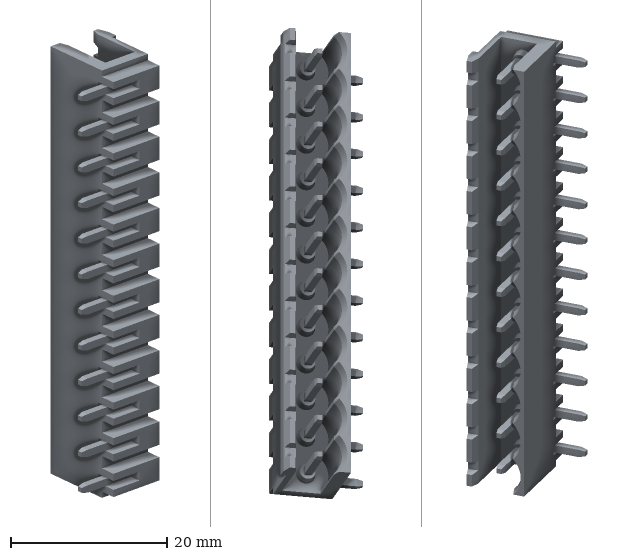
import cadquery as cq

way_count = 12
length = 60.0
pitch = length / way_count
depth = 12.2
wall_height = 7.8
floor_x = 8.4
front_wall_inner_y = 1.9
back_wall_inner_y = 6.95

mouth_lead = 1.2
mouth_flare = 0.35
lip_top_y = 8.5
lip_nose_y = 8.05
lip_ramp_end = 1.55
lip_end = 3.0
lip_slot_mouth_width = 1.75
lip_slot_floor_width = 1.3

contact_y = 3.9
scallop_radius = 3.0
scallop_flare = 0.4

pin_size = 1.0
pin_tip_size = 0.65
pin_tip_length = 0.85
contact_tip_x = 0.8
tail_x = 10.3
tail_tip_y = -4.1

collar_height = 1.15
collar_base_radius = 1.25
collar_top_radius = 1.0

notch_start_x = 9.95
notch_width = 1.75
channel_start_x = 9.2
channel_width = 1.25
channel_depth = contact_y + pin_size / 2

way_heights = [(i + 0.5) * pitch for i in range(way_count)]


def box(x0, x1, y0, y1, z0, z1):
    """Box given by its limits along each axis."""
    return cq.Workplane("XY").box(x1 - x0, y1 - y0, z1 - z0, centered=False).translate((x0, y0, z0))


def housing_blank():
    """Solid extrusion along Z with the latch lip on its back side."""
    outline = [
        (0, 0),
        (depth, 0),
        (depth, wall_height),
        (lip_end, wall_height),
        (lip_end, lip_top_y),
        (lip_ramp_end, lip_top_y),
        (0, lip_nose_y),
    ]
    return cq.Workplane("XY").polyline(outline).close().extrude(length)


def cavity():
    """Mating cavity, open at both ends, with a scalloped front side and a flared mouth."""
    outline = [
        (0, front_wall_inner_y - mouth_flare),
        (mouth_lead, front_wall_inner_y),
        (floor_x, front_wall_inner_y),
        (floor_x, back_wall_inner_y),
        (mouth_lead, back_wall_inner_y),
        (0, back_wall_inner_y + mouth_flare),
    ]
    space = cq.Workplane("XY").polyline(outline).close().extrude(length)
    scallop_profile = [
        (0, contact_y),
        (floor_x, contact_y),
        (floor_x, contact_y - scallop_radius),
        (mouth_lead, contact_y - scallop_radius),
        (0, contact_y - scallop_radius - scallop_flare),
    ]
    scallop = (
        cq.Workplane("XY").polyline(scallop_profile).close()
        .revolve(360, (0, contact_y, 0), (1, contact_y, 0))
    )
    front_half = box(0, floor_x, 0, contact_y, -pitch / 2, pitch / 2)
    scallop = scallop.intersect(front_half)
    for z in way_heights:
        space = space.union(scallop.translate((0, 0, z)))
    return space


def lip_slot():
    """Slot through the nose of the latch lip, narrowing toward its floor."""
    outline = [
        (0, -lip_slot_mouth_width / 2),
        (0, lip_slot_mouth_width / 2),
        (mouth_lead, lip_slot_floor_width / 2),
        (mouth_lead, -lip_slot_floor_width / 2),
    ]
    slot_plane = cq.Plane(origin=(0, lip_top_y, 0), xDir=(1, 0, 0), normal=(0, -1, 0))
    return cq.Workplane(slot_plane).polyline(outline).close().extrude(lip_top_y - back_wall_inner_y)


def square_pin(plane, pin_length):
    """Square pin along the plane normal, ending in a tapered tip."""
    shank_length = pin_length - pin_tip_length
    shank = cq.Workplane(plane).rect(pin_size, pin_size).extrude(shank_length)
    tip = (
        cq.Workplane(plane).workplane(offset=shank_length).rect(pin_size, pin_size)
        .workplane(offset=pin_tip_length).rect(pin_tip_size, pin_tip_size).loft()
    )
    return shank.union(tip)


def angled_pin():
    """Contact toward the mouth, joined to a tail leaving through the front face."""
    elbow_x = tail_x + pin_size / 2
    toward_mouth = cq.Plane(origin=(elbow_x, contact_y, 0), xDir=(0, 1, 0), normal=(-1, 0, 0))
    toward_board = cq.Plane(origin=(tail_x, contact_y, 0), xDir=(1, 0, 0), normal=(0, -1, 0))
    contact = square_pin(toward_mouth, elbow_x - contact_tip_x)
    tail = square_pin(toward_board, contact_y - tail_tip_y)
    return contact.union(tail)


def collar():
    """Tapered ring standing on the cavity floor."""
    return (
        cq.Workplane(cq.Plane(origin=(floor_x, contact_y, 0), xDir=(0, 1, 0), normal=(-1, 0, 0)))
        .circle(collar_base_radius).workplane(offset=collar_height).circle(collar_top_radius).loft()
    )


result = housing_blank().cut(cavity())

for i in range(way_count + 1):
    z = i * pitch
    notch = box(notch_start_x, depth, 0, wall_height, z - notch_width / 2, z + notch_width / 2)
    result = result.cut(notch)

slot = lip_slot()
for z in way_heights:
    channel = box(channel_start_x, depth, 0, channel_depth, z - channel_width / 2, z + channel_width / 2)
    result = result.cut(slot.translate((0, 0, z))).cut(channel)

way_fittings = angled_pin().union(collar())
for z in way_heights:
    result = result.union(way_fittings.translate((0, 0, z)))